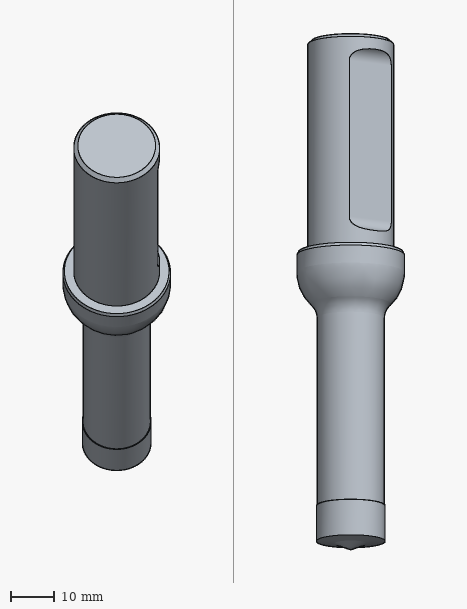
import cadquery as cq
import math

total_length = 120.4
shank_length = 50.0
collar_bottom_z = 65.5
neck_top_z = 54.8
tip_top_z = 10.5
tip_edge_z = 2.0
point_cone_z = 1.5

shank_radius = 20.0 / 2
collar_radius = 25.0 / 2
neck_radius = 15.7 / 2
tip_radius = 16.0 / 2
point_cone_radius = 7.5 / 2

shank_chamfer_width = 1.0
shank_chamfer_height = 0.8
collar_chamfer_width = 0.4
collar_chamfer_height = 0.7
flank_radius = 10.0

shank_flat_y = 8.1
shank_flat_end_gap = 3.3
shank_flat_end_radius = 3.3

collar_top_z = total_length - shank_length

flank_step = collar_radius - neck_radius
flank_height = collar_bottom_z - neck_top_z
radius_sum = (flank_step**2 + flank_height**2) / (2 * flank_step)
neck_fillet_radius = radius_sum - flank_radius
flank_angle = math.asin(flank_height / radius_sum)


def flank_point(angle):
    """Point on the convex flank arc, turned down from the collar by angle."""
    r = collar_radius - flank_radius * (1 - math.cos(angle))
    return r, collar_bottom_z - flank_radius * math.sin(angle)


def neck_fillet_point(angle):
    """Point on the concave neck arc, turned up from the neck by angle."""
    r = neck_radius + neck_fillet_radius * (1 - math.cos(angle))
    return r, neck_top_z + neck_fillet_radius * math.sin(angle)


def make_holder():
    profile = (
        cq.Workplane("XZ")
        .moveTo(0, tip_top_z)
        .lineTo(neck_radius, tip_top_z)
        .lineTo(neck_radius, neck_top_z)
        .threePointArc(neck_fillet_point(flank_angle / 2), flank_point(flank_angle))
        .threePointArc(flank_point(flank_angle / 2), (collar_radius, collar_bottom_z))
        .lineTo(collar_radius, collar_top_z - collar_chamfer_height)
        .lineTo(collar_radius - collar_chamfer_width, collar_top_z)
        .lineTo(shank_radius, collar_top_z)
        .lineTo(shank_radius, total_length - shank_chamfer_height)
        .lineTo(shank_radius - shank_chamfer_width, total_length)
        .lineTo(0, total_length)
        .close()
    )
    turned = profile.revolve(360, (0, 0), (0, 1))
    return turned.cut(shank_flat_cutter())


def shank_flat_cutter():
    """Long flat with rounded inner corners, stopping short of both shank ends."""
    length = shank_length - 2 * shank_flat_end_gap
    return (
        cq.Workplane("XY", origin=(0, shank_flat_y, collar_top_z + shank_flat_end_gap))
        .box(2 * shank_radius, shank_radius, length, centered=(True, False, False))
        .edges("<Y and |X")
        .fillet(shank_flat_end_radius)
    )


def make_drill_tip():
    profile = (
        cq.Workplane("XZ")
        .moveTo(0, 0)
        .lineTo(point_cone_radius, point_cone_z)
        .lineTo(tip_radius, tip_edge_z)
        .lineTo(tip_radius, tip_top_z)
        .lineTo(0, tip_top_z)
        .close()
    )
    return profile.revolve(360, (0, 0), (0, 1))


holder = make_holder()
drill_tip = make_drill_tip()

result = cq.Compound.makeCompound([holder.val(), drill_tip.val()])